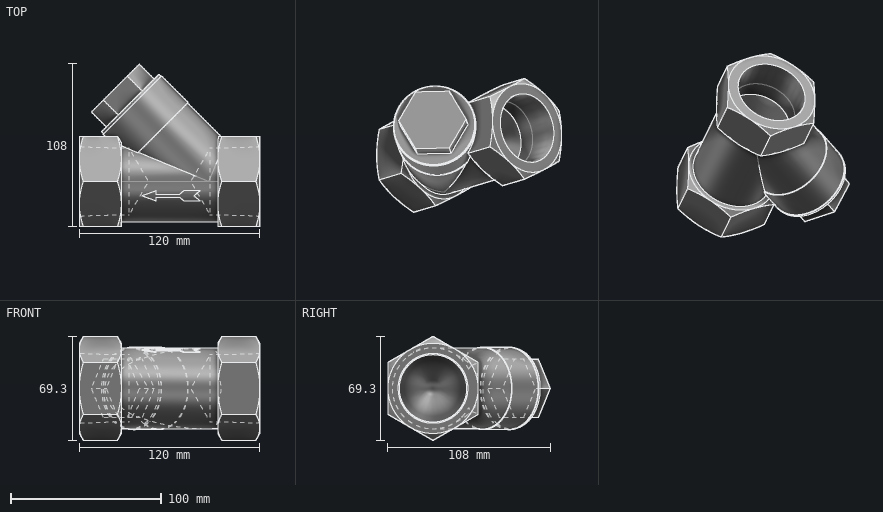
import cadquery as cq
import math

overall_length = 120.0
nut_length = 28.0
nut_across_flats = 60.0
nut_chamfer_angle = 30.0
body_radius = 27.0

socket_mouth_radius = 23.2
socket_end_radius = 22.4
socket_taper_depth = 21.0
socket_bore_length = 12.0
socket_point_angle = 120.0

branch_origin_x = 26.0
branch_angle = 135.0
branch_tip_y = 78.0
branch_radius = body_radius
sleeve_radius = 27.5
sleeve_length = 25.0
collar_radius = 27.0
collar_length = 2.0
cap_across_flats = 39.0
cap_length = 14.0

arrow_height = 0.5
arrow_center_y = -9.5
arrow_tip_x = -18.4
arrow_head_base_x = -9.0
arrow_shaft_end_x = 6.7
arrow_tail_start_x = 9.4
arrow_notch_x = 16.2
arrow_tail_end_x = 20.3
arrow_half_width = 3.4
arrow_shaft_half_width = 1.0

half_length = overall_length / 2
nut_corner_radius = nut_across_flats / math.sqrt(3)
cap_corner_radius = cap_across_flats / math.sqrt(3)

branch_rise = math.sin(math.radians(branch_angle))
cap_corner_rise = -cap_corner_radius * math.cos(math.radians(branch_angle))
branch_end = (branch_tip_y - cap_corner_rise) / branch_rise
cap_start = branch_end - cap_length
collar_start = cap_start - collar_length
sleeve_start = collar_start - sleeve_length


def revolve_about_x(points):
    """Solid of revolution about the X axis from a closed (x, radius) profile."""
    return cq.Workplane("XZ").polyline(points).close().revolve(360, (0, 0), (1, 0))


def make_nut():
    """Nut at the -X end, corners on +Z and -Z, chamfered at both end faces."""
    outer_face = -half_length
    inner_face = outer_face + nut_length
    hexagon = (
        cq.Workplane("YZ", origin=(outer_face, 0, 0))
        .transformed(rotate=(0, 0, 90))
        .polygon(6, 2 * nut_corner_radius)
        .extrude(nut_length)
    )
    face_radius = nut_across_flats / 2
    chamfer_length = (nut_corner_radius - face_radius) * math.tan(math.radians(nut_chamfer_angle))
    envelope = revolve_about_x([
        (outer_face, 0),
        (outer_face, face_radius),
        (outer_face + chamfer_length, nut_corner_radius),
        (inner_face - chamfer_length, nut_corner_radius),
        (inner_face, face_radius),
        (inner_face, 0),
    ])
    return hexagon.intersect(envelope)


def make_socket():
    """Socket cavity at the -X end."""
    mouth = -half_length
    taper_end = mouth + socket_taper_depth
    bore_end = taper_end + socket_bore_length
    point_depth = socket_end_radius / math.tan(math.radians(socket_point_angle / 2))
    return revolve_about_x([
        (mouth, 0),
        (mouth, socket_mouth_radius),
        (taper_end, socket_end_radius),
        (bore_end, socket_end_radius),
        (bore_end + point_depth, 0),
    ])


def make_branch():
    """Stepped round branch with its hexagonal cap."""
    angle = math.radians(branch_angle)
    axis = cq.Vector(math.cos(angle), math.sin(angle), 0)

    def section_plane(distance):
        center = cq.Vector(branch_origin_x, 0, 0) + axis * distance
        return cq.Workplane(cq.Plane(origin=center, xDir=(-axis.y, axis.x, 0), normal=axis))

    neck = section_plane(0).circle(branch_radius).extrude(sleeve_start)
    sleeve = section_plane(sleeve_start).circle(sleeve_radius).extrude(sleeve_length)
    collar = section_plane(collar_start).circle(collar_radius).extrude(collar_length)
    cap = section_plane(cap_start).polygon(6, 2 * cap_corner_radius).extrude(cap_length)
    return neck.union(sleeve).union(collar).union(cap)


def make_arrow():
    """Arrow outline raised evenly above the round body."""
    upper_half = [
        (arrow_head_base_x, arrow_half_width),
        (arrow_head_base_x, arrow_shaft_half_width),
        (arrow_shaft_end_x, arrow_shaft_half_width),
        (arrow_tail_start_x, arrow_half_width),
        (arrow_tail_end_x, arrow_half_width),
    ]
    lower_half = [(x, -y) for x, y in reversed(upper_half)]
    outline = [(arrow_tip_x, 0), *upper_half, (arrow_notch_x, 0), *lower_half]
    raised_radius = body_radius + arrow_height
    prism = (
        cq.Workplane("XY", origin=(0, arrow_center_y, 0))
        .polyline(outline)
        .close()
        .extrude(raised_radius)
    )
    raised_skin = (
        cq.Workplane("YZ", origin=(-half_length, 0, 0)).circle(raised_radius).extrude(overall_length)
    )
    return prism.intersect(raised_skin)


body = revolve_about_x([
    (-half_length, 0),
    (-half_length, body_radius),
    (half_length, body_radius),
    (half_length, 0),
])
nut = make_nut()
socket = make_socket()

result = body.union(make_branch()).union(make_arrow())
result = result.union(nut).union(nut.mirror("YZ"))
result = result.cut(socket).cut(socket.mirror("YZ"))